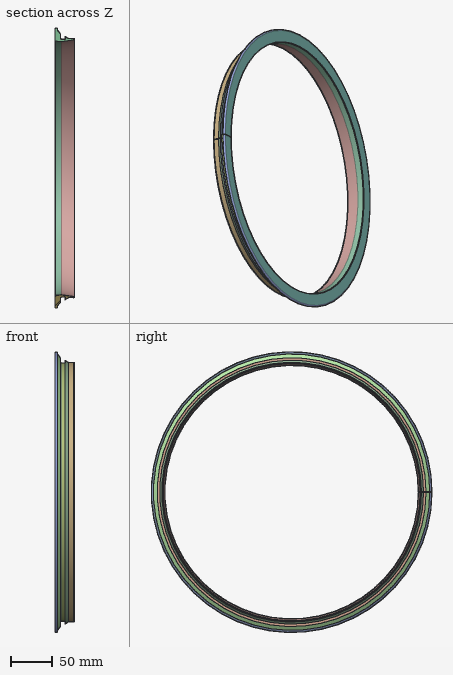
import cadquery as cq

WIDTH = 24.0
RIM_WIDTH = 3.4
FLANGE_WIDTH = 6.9
RIDGE_START = 12.5
RIDGE_END = 16.5
THROAT_POSITION = 8.0

RIM_RADIUS = 170.0
CONE_START_RADIUS = 167.2
CONE_END_RADIUS = 162.7
GROOVE_RADIUS = 156.5
RIDGE_RADIUS = 159.7
SLEEVE_RADIUS = 157.2

FACE_INNER_RADIUS = 154.5
LEAD_IN_RADIUS = 154.0
THROAT_RADIUS = 153.3
BORE_END_RADIUS = 155.6

RIM_ROUND = RIM_WIDTH / 2
GROOVE_FILLET = 1.2
LEAD_IN_WIDTH = 1.0
END_BEVEL_WIDTH = 1.3
END_BEVEL_DEPTH = 0.5

SPLIT_GAP = 0.5


def ring():
    """Revolve the flanged cross-section (X, radius) about the X axis."""
    profile = (
        cq.Workplane("XY")
        .moveTo(0, FACE_INNER_RADIUS)
        .lineTo(0, RIM_RADIUS - RIM_ROUND)
        .radiusArc((RIM_ROUND, RIM_RADIUS), RIM_ROUND)
        .radiusArc((RIM_WIDTH, RIM_RADIUS - RIM_ROUND), RIM_ROUND)
        .lineTo(RIM_WIDTH, CONE_START_RADIUS)
        .lineTo(FLANGE_WIDTH, CONE_END_RADIUS)
        .lineTo(FLANGE_WIDTH, GROOVE_RADIUS + GROOVE_FILLET)
        .radiusArc((FLANGE_WIDTH + GROOVE_FILLET, GROOVE_RADIUS), -GROOVE_FILLET)
        .lineTo(RIDGE_START, GROOVE_RADIUS)
        .lineTo(RIDGE_START, RIDGE_RADIUS)
        .lineTo(RIDGE_END, SLEEVE_RADIUS)
        .lineTo(WIDTH - END_BEVEL_WIDTH, SLEEVE_RADIUS)
        .lineTo(WIDTH, SLEEVE_RADIUS - END_BEVEL_DEPTH)
        .lineTo(WIDTH, BORE_END_RADIUS)
        .lineTo(THROAT_POSITION, THROAT_RADIUS)
        .lineTo(LEAD_IN_WIDTH, LEAD_IN_RADIUS)
        .close()
    )
    return profile.revolve(360, (0, 0, 0), (1, 0, 0))


def split_cutter():
    """Thin slab that opens the ring on its +Y side."""
    slab = cq.Workplane("XY").box(WIDTH, RIM_RADIUS, SPLIT_GAP, centered=(False, False, True))
    return slab.translate((0, RIM_RADIUS / 2, 0))


result = ring().cut(split_cutter())